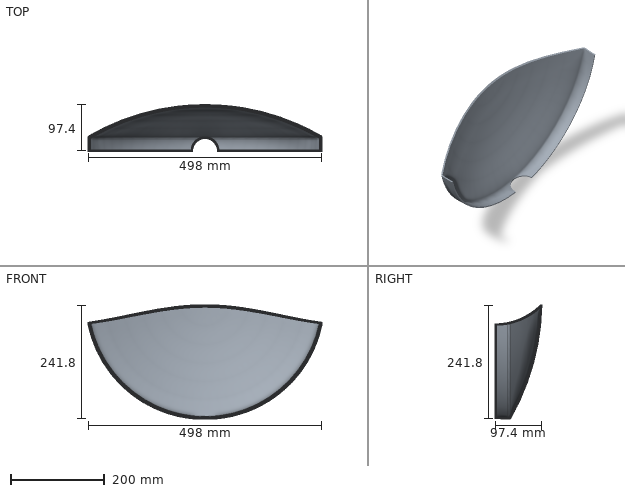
import cadquery as cq
import math

rim_radius = 254.0
wall = 3.0
depth = 97.5
dome_radius = 508.0
edge_radius = 7.5
notch_radius = 28.0
top_cut_radius = 137.0
top_cut_height = 201.5

axis_height = rim_radius
margin = 50.0


def domed_solid(cylinder_radius, sphere_radius, crown, rounding):
    """Solid cylinder with a spherical crown and a rounded shoulder."""
    dome_center = crown - sphere_radius
    shoulder = dome_center + math.sqrt(sphere_radius**2 - cylinder_radius**2)
    mid_radius = cylinder_radius / 2
    mid_depth = dome_center + math.sqrt(sphere_radius**2 - mid_radius**2)
    solid = (
        cq.Workplane("XY")
        .lineTo(cylinder_radius, 0)
        .lineTo(cylinder_radius, shoulder)
        .threePointArc((mid_radius, mid_depth), (0, crown))
        .close()
        .revolve(360, (0, 0), (0, 1))
    )
    shoulder_edge = cq.selectors.BoxSelector(
        (-margin, shoulder - wall, -margin), (margin, shoulder + wall, margin), boundingbox=False
    )
    rounded = solid.edges(shoulder_edge).fillet(rounding)
    return rounded.translate((0, 0, axis_height))


outer = domed_solid(rim_radius, dome_radius, depth, edge_radius)
inner = domed_solid(rim_radius - wall, dome_radius - wall, depth - wall, edge_radius - wall)
dish = outer.cut(inner)

arc_center_height = top_cut_height + top_cut_radius
arc_end = depth + wall
arc_middle = arc_end / 2


def cut_height(y):
    return arc_center_height - math.sqrt(top_cut_radius**2 - y**2)


kept_region = (
    cq.Workplane("YZ")
    .moveTo(0, -margin)
    .lineTo(0, top_cut_height)
    .threePointArc((arc_middle, cut_height(arc_middle)), (arc_end, cut_height(arc_end)))
    .lineTo(arc_end, -margin)
    .close()
    .extrude(rim_radius + margin, both=True)
)

notch = cq.Workplane("XY").circle(notch_radius).extrude(margin)

result = dish.intersect(kept_region).cut(notch)